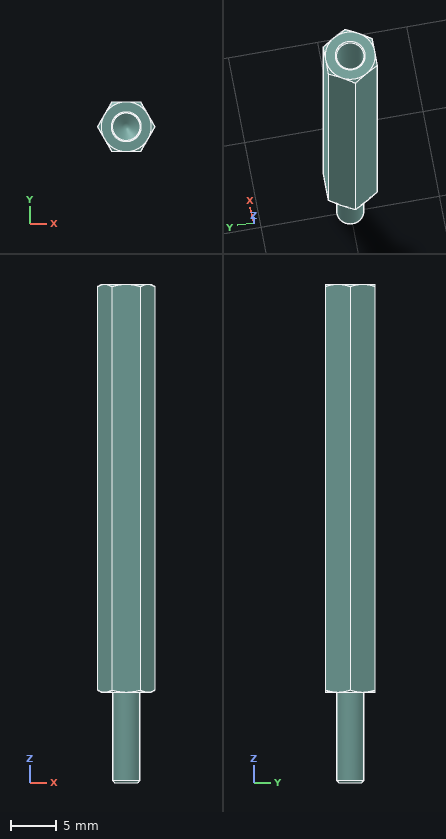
import cadquery as cq
import math

total_length = 55.0
stud_length = 10.0
across_flats = 5.5
stud_diameter = 3.0
stud_chamfer = 0.3
hole_diameter = 3.0
countersink_diameter = 3.3
hole_depth = 10.0
drill_tip_angle = 118.0
corner_chamfer_angle = 30.0

across_corners = across_flats / math.cos(math.radians(30))
body_length = total_length - stud_length


def hex_body():
    """Hexagonal bar with its corners turned down by a cone at both ends."""
    base = cq.Workplane("XY").workplane(offset=stud_length)
    bar = base.polygon(6, across_corners).extrude(body_length)
    corner_radius = across_corners / 2
    end_radius = across_flats / 2
    cone_height = (corner_radius - end_radius) * math.tan(math.radians(corner_chamfer_angle))
    turned_envelope = (
        cq.Workplane("XZ")
        .moveTo(0, stud_length)
        .lineTo(end_radius, stud_length)
        .lineTo(corner_radius, stud_length + cone_height)
        .lineTo(corner_radius, total_length - cone_height)
        .lineTo(end_radius, total_length)
        .lineTo(0, total_length)
        .close()
        .revolve(360, (0, 0, 0), (0, 1, 0))
    )
    return bar.intersect(turned_envelope)


def stud():
    """Round stud below the body, chamfered at its free end."""
    return cq.Workplane("XY").circle(stud_diameter / 2).extrude(stud_length).faces("<Z").chamfer(stud_chamfer)


def drilled_hole():
    """Blind hole from the top with a conical drill tip and a 45 degree countersink at its mouth."""
    hole_radius = hole_diameter / 2
    mouth_radius = countersink_diameter / 2
    countersink_depth = mouth_radius - hole_radius
    tip_height = hole_radius / math.tan(math.radians(drill_tip_angle / 2))
    hole_bottom = total_length - hole_depth
    return (
        cq.Workplane("XZ")
        .moveTo(0, total_length)
        .lineTo(mouth_radius, total_length)
        .lineTo(hole_radius, total_length - countersink_depth)
        .lineTo(hole_radius, hole_bottom)
        .lineTo(0, hole_bottom - tip_height)
        .close()
        .revolve(360, (0, 0, 0), (0, 1, 0))
    )


result = hex_body().union(stud()).cut(drilled_hole())